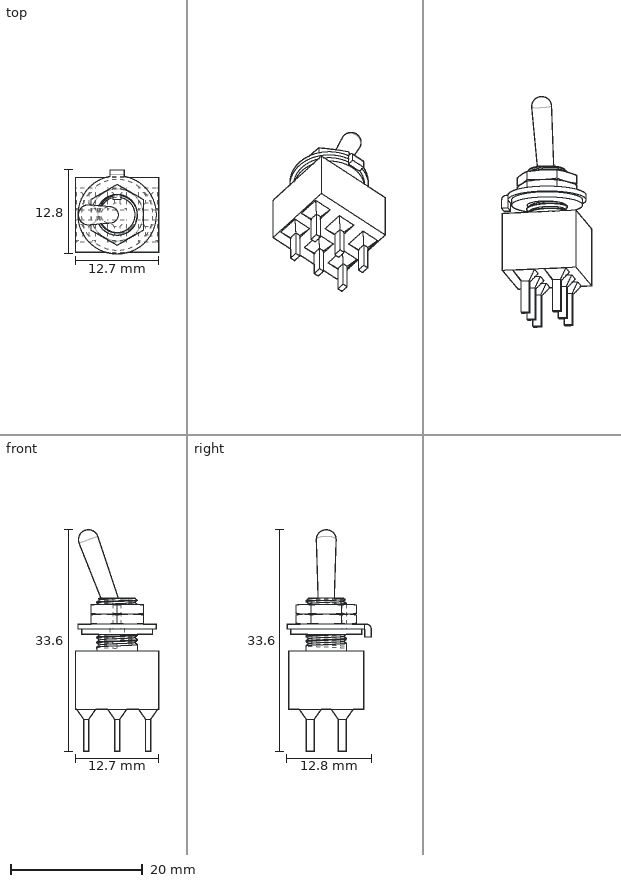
import math

import cadquery as cq


OVERALL_Y = 12.79
OVERALL_Z = 33.64

BODY_X = 12.7
BODY_Y = 11.4
BODY_HEIGHT = 8.9

PIN_PITCH_X = 4.7
PIN_PITCH_Y = 4.85
PIN_X = 0.8
PIN_Y = 1.25
PIN_LENGTH = 4.85
FOOT_HEIGHT = 1.5
FOOT_FLARE = 1.05

BUSHING_RADIUS = 3.1
BUSHING_HEIGHT = 8.0
THREAD_PITCH = 0.76
THREAD_DEPTH = 0.42
GROOVE_WIDTH = 0.7
GROOVE_CLEARANCE = 0.03
GROOVE_START_HEIGHT = 0.69
GROOVE_START_ANGLE = 90.0
BUSHING_CHAMFER = 0.4
KEYWAY_WIDTH = 1.2
KEYWAY_FLOOR = 2.36

WASHER_BOTTOM = 2.5
LOWER_WASHER_RADIUS = 5.4
LOWER_WASHER_THICKNESS = 0.8
TAB_WASHER_RADIUS = 5.95
TAB_WASHER_THICKNESS = 0.76

TAB_REACH = OVERALL_Y - TAB_WASHER_RADIUS
TAB_WIDTH = 2.2
TAB_THICKNESS = 1.0
TAB_DROP = 2.0
TAB_BEND_RADIUS = 0.75

NUT_ACROSS_FLATS = 8.0
NUT_HEIGHT = 1.5
NUT_COUNT = 2
NUT_BEVEL_RADIUS = 3.95
NUT_BEVEL_DROP = 0.12

LEVER_TILT = 20.0
LEVER_PIVOT_HEIGHT = 4.87
LEVER_TOP = OVERALL_Z - BODY_HEIGHT - FOOT_HEIGHT - PIN_LENGTH
LEVER_TIP_RADIUS = 1.53
LEVER_BASE_RADIUS = 1.22

TAB_WASHER_BOTTOM = WASHER_BOTTOM + LOWER_WASHER_THICKNESS
NUT_BOTTOM = TAB_WASHER_BOTTOM + TAB_WASHER_THICKNESS
KEYWAY_BOTTOM = TAB_WASHER_BOTTOM


def cylinder(radius, bottom, height):
    return cq.Workplane("XY").workplane(offset=bottom).circle(radius).extrude(height)


def make_body():
    body = cq.Workplane("XY").box(BODY_X, BODY_Y, BODY_HEIGHT, centered=(True, True, False))
    return body.translate((0, 0, -BODY_HEIGHT))


def make_terminal(x, y):
    foot = (
        cq.Workplane("XY")
        .workplane(offset=-BODY_HEIGHT)
        .rect(PIN_X + 2 * FOOT_FLARE, PIN_Y + 2 * FOOT_FLARE)
        .workplane(offset=-FOOT_HEIGHT)
        .rect(PIN_X, PIN_Y)
        .loft()
    )
    pin = (
        cq.Workplane("XY")
        .workplane(offset=-BODY_HEIGHT - FOOT_HEIGHT)
        .rect(PIN_X, PIN_Y)
        .extrude(-PIN_LENGTH)
    )
    return foot.union(pin).translate((x, y, 0))


def make_thread_groove():
    """V-shaped helical cutter that starts on the +Y side and runs out past the bushing top."""
    root_radius = BUSHING_RADIUS - THREAD_DEPTH
    outer_radius = BUSHING_RADIUS + GROOVE_CLEARANCE
    helix = cq.Wire.makeHelix(THREAD_PITCH, BUSHING_HEIGHT, BUSHING_RADIUS)
    groove = (
        cq.Workplane("XZ")
        .moveTo(root_radius, 0)
        .lineTo(outer_radius, GROOVE_WIDTH / 2)
        .lineTo(outer_radius, -GROOVE_WIDTH / 2)
        .close()
        .sweep(cq.Workplane(obj=helix), isFrenet=True)
    )
    return groove.rotate((0, 0, 0), (0, 0, 1), GROOVE_START_ANGLE).translate((0, 0, GROOVE_START_HEIGHT))


def make_bushing():
    blank = cylinder(BUSHING_RADIUS, 0, BUSHING_HEIGHT).faces(">Z").chamfer(BUSHING_CHAMFER)
    return blank.cut(make_thread_groove())


def make_washers():
    lower = cylinder(LOWER_WASHER_RADIUS, WASHER_BOTTOM, LOWER_WASHER_THICKNESS)
    upper = cylinder(TAB_WASHER_RADIUS, TAB_WASHER_BOTTOM, TAB_WASHER_THICKNESS)
    return lower.union(upper).union(make_tab())


def make_tab():
    tab = (
        cq.Workplane("XY")
        .box(TAB_WIDTH, TAB_THICKNESS, TAB_DROP, centered=(True, False, False))
        .edges("|X and >Y and >Z")
        .fillet(TAB_BEND_RADIUS)
    )
    return tab.translate((0, TAB_REACH - TAB_THICKNESS, NUT_BOTTOM - TAB_DROP))


def make_nut(bottom):
    """Hexagon with corners along Y, conically bevelled at both ends."""
    corner_radius = NUT_ACROSS_FLATS / math.sqrt(3)
    hexagon = (
        cq.Workplane("XY")
        .polygon(6, 2 * corner_radius)
        .extrude(NUT_HEIGHT)
        .rotate((0, 0, 0), (0, 0, 1), 90)
    )
    bevel = (
        cq.Workplane("XZ")
        .lineTo(NUT_BEVEL_RADIUS, 0)
        .lineTo(corner_radius, NUT_BEVEL_DROP)
        .lineTo(corner_radius, NUT_HEIGHT - NUT_BEVEL_DROP)
        .lineTo(NUT_BEVEL_RADIUS, NUT_HEIGHT)
        .lineTo(0, NUT_HEIGHT)
        .close()
        .revolve(360)
    )
    return hexagon.intersect(bevel).translate((0, 0, bottom))


def make_keyway():
    """Slot on the +Y side of the bushing, running down to the tab washer's underside."""
    length = BUSHING_HEIGHT - KEYWAY_BOTTOM
    depth = BUSHING_RADIUS - KEYWAY_FLOOR
    slot = cq.Workplane("XY").box(KEYWAY_WIDTH, depth, length, centered=(True, False, False))
    return slot.translate((0, KEYWAY_FLOOR, KEYWAY_BOTTOM))


def make_lever():
    """Tapered round lever with a ball end, tilted towards -X about its pivot."""
    tilt = math.radians(LEVER_TILT)
    ball_distance = (LEVER_TOP - LEVER_TIP_RADIUS - LEVER_PIVOT_HEIGHT) / math.cos(tilt)
    base_distance = (BUSHING_HEIGHT - LEVER_PIVOT_HEIGHT) / math.cos(tilt) - LEVER_BASE_RADIUS
    lever = (
        cq.Workplane("XZ")
        .moveTo(0, base_distance)
        .lineTo(LEVER_BASE_RADIUS, base_distance)
        .lineTo(LEVER_TIP_RADIUS, ball_distance)
        .radiusArc((0, ball_distance + LEVER_TIP_RADIUS), -LEVER_TIP_RADIUS)
        .close()
        .revolve(360, (0, 0, 0), (0, 1, 0))
    )
    return lever.rotate((0, 0, 0), (0, 1, 0), -LEVER_TILT).translate((0, 0, LEVER_PIVOT_HEIGHT))


result = make_body().union(make_bushing()).union(make_washers())
for nut_index in range(NUT_COUNT):
    result = result.union(make_nut(NUT_BOTTOM + nut_index * NUT_HEIGHT))
result = result.cut(make_keyway()).union(make_lever())
for column in (-1, 0, 1):
    for row in (-0.5, 0.5):
        result = result.union(make_terminal(column * PIN_PITCH_X, row * PIN_PITCH_Y))